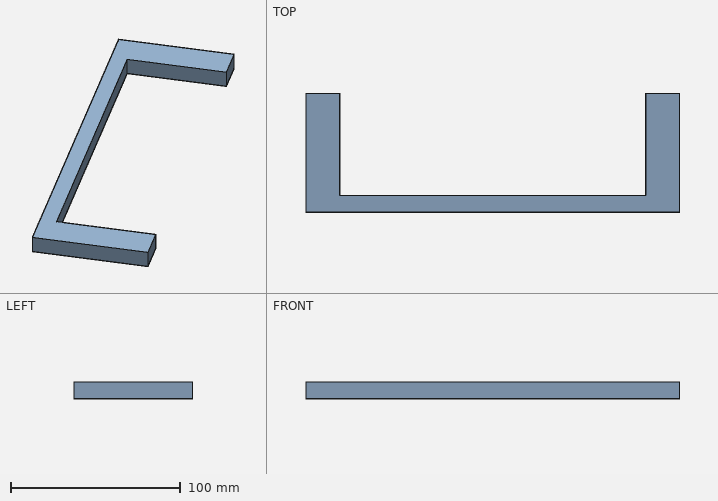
import cadquery as cq

LENGTH = 220.0
DEPTH = 70.0
THICKNESS = 10.0
LEG_WIDTH = 20.0
BAR_WIDTH = 10.0


def make_bar():
    """Straight bar along the front (-Y) edge, joining the two legs."""
    return cq.Workplane("XY").box(LENGTH, BAR_WIDTH, THICKNESS, centered=(True, False, False))


def make_leg(side):
    """Leg running the full depth at one end of the bar (side is -1 or +1)."""
    leg_center_x = side * (LENGTH - LEG_WIDTH) / 2
    return (
        cq.Workplane("XY")
        .box(LEG_WIDTH, DEPTH, THICKNESS, centered=(True, False, False))
        .translate((leg_center_x, 0, 0))
    )


result = make_bar()
for side in (-1, 1):
    result = result.union(make_leg(side))
result = result.clean()